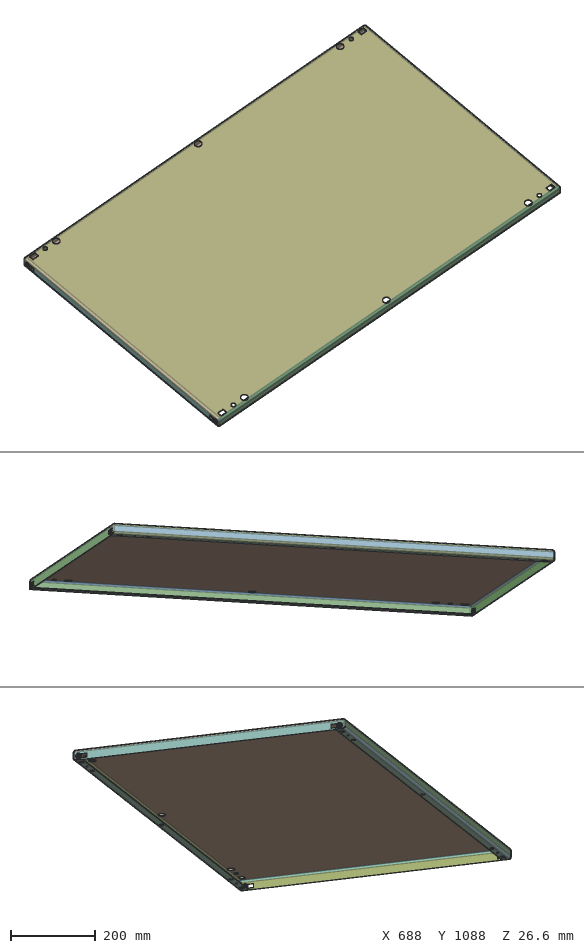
import cadquery as cq

LENGTH_X = 688.0
LENGTH_Y = 1088.0
HEIGHT = 26.6

SHEET = 2.0
BEND_RADIUS = 6.3
CORNER_RADIUS = 3.8
LIP_WIDTH = 24.0

FIXING_X = LENGTH_X / 2 - 14.0
SCREW_POSITIONS_Y = (-452.0, 0.0, 452.0)
SCREW_ACCESS_DIAMETER = 18.0
SCREW_HOLE_DIAMETER = 9.5
PILOT_Y = 487.0
PILOT_ACCESS_DIAMETER = 11.0
PILOT_HOLE_DIAMETER = 5.0
WINDOW_Y = 522.8
WINDOW_SIZE = (12.0, 17.0)
LIP_WINDOW_SIZE = (7.5, 12.0)

END_OPENING_Z = 9.6
SLOT_X = LENGTH_X / 2 - 28.5
SLOT_WIDTH = 14.2
SLOT_HEIGHT = 9.6
BUSHING_X = LENGTH_X / 2 - 14.0
BUSHING_DIAMETER = 14.2
BUSHING_BORE_DIAMETER = 4.0
BUSHING_STEP_DIAMETER = 10.0
BUSHING_STEP_DEPTH = SHEET / 2


def rounded_tray(inset):
    """Solid tray with the bends rounded, shrunk by inset on every side."""

    def block():
        plane = cq.Workplane("XY").workplane(offset=inset)
        return plane.rect(LENGTH_X - 2 * inset, LENGTH_Y - 2 * inset).extrude(HEIGHT - 2 * inset)

    bend_radius = BEND_RADIUS - inset
    upper = block().edges("|Z").fillet(CORNER_RADIUS - inset)
    upper = upper.faces(">Z").edges().fillet(bend_radius)
    lower = block().edges("|Y and <Z").fillet(bend_radius)
    return upper.intersect(lower)


def make_pan():
    """Hollow sheet-metal pan whose underside is open between the two lips."""
    opening = cq.Workplane("XY").rect(LENGTH_X - 2 * LIP_WIDTH, LENGTH_Y - 2 * SHEET).extrude(SHEET)
    return rounded_tray(0).cut(rounded_tray(SHEET)).cut(opening)


def fixing_points(positions_y):
    """Points on both long sides at the given Y positions."""
    return [(side * FIXING_X, y) for side in (-1, 1) for y in positions_y]


def cut_fixing_layer(pan, bottom_z, screw_diameter, pilot_diameter, window_size):
    """Cut all fixing openings through the one sheet that starts at bottom_z."""
    plane = cq.Workplane("XY").workplane(offset=bottom_z)
    screws = plane.pushPoints(fixing_points(SCREW_POSITIONS_Y)).circle(screw_diameter / 2).extrude(SHEET)
    pilots = plane.pushPoints(fixing_points((-PILOT_Y, PILOT_Y))).circle(pilot_diameter / 2).extrude(SHEET)
    windows = plane.pushPoints(fixing_points((-WINDOW_Y, WINDOW_Y))).rect(*window_size).extrude(SHEET)
    return pan.cut(screws).cut(pilots).cut(windows)


def cut_end_walls(pan):
    """Cut the slots and the bushing seats through both end walls."""
    end_plane = cq.Workplane("XZ", origin=(0, LENGTH_Y / 2, END_OPENING_Z))
    slot_points = [(-SLOT_X, 0), (SLOT_X, 0)]
    seat_points = [(-BUSHING_X, 0), (BUSHING_X, 0)]
    slots = end_plane.pushPoints(slot_points).rect(SLOT_WIDTH, SLOT_HEIGHT).extrude(LENGTH_Y)
    seats = end_plane.pushPoints(seat_points).circle(BUSHING_DIAMETER / 2).extrude(LENGTH_Y)
    return pan.cut(slots).cut(seats)


def make_bushing(side, end):
    """Stepped bushing filling the seat in one end wall, flush with the wall's faces."""
    face = cq.Workplane("XZ", origin=(side * BUSHING_X, end * LENGTH_Y / 2, END_OPENING_Z))
    disc = face.circle(BUSHING_DIAMETER / 2).extrude(end * SHEET)
    bore = face.circle(BUSHING_BORE_DIAMETER / 2).extrude(end * SHEET)
    step = face.circle(BUSHING_STEP_DIAMETER / 2).extrude(end * BUSHING_STEP_DEPTH)
    return disc.cut(bore).cut(step)


panel = make_pan()
panel = cut_fixing_layer(
    panel, HEIGHT - SHEET, SCREW_ACCESS_DIAMETER, PILOT_ACCESS_DIAMETER, WINDOW_SIZE
)
panel = cut_fixing_layer(panel, 0, SCREW_HOLE_DIAMETER, PILOT_HOLE_DIAMETER, LIP_WINDOW_SIZE)
panel = cut_end_walls(panel)

bushings = [make_bushing(side, end) for side in (-1, 1) for end in (-1, 1)]

result = cq.Compound.makeCompound([panel.val(), *[bushing.val() for bushing in bushings]])